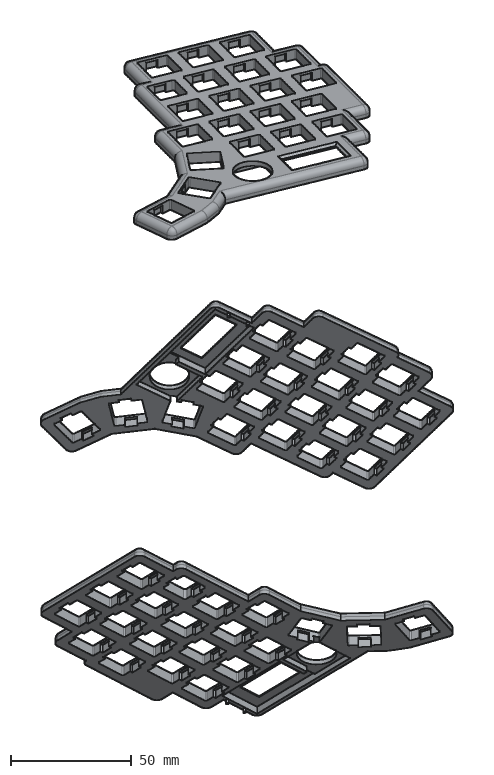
import cadquery as cq
import math

PLATE_HEIGHT = 5.0
EDGE_RADIUS = 3.0
SMALL_STEP_RADIUS = 2.3
RIM_MARGIN = 2.125

KEY_PITCH = 19.05
KEY_OPENING = 14.0
KEY_CORNER_RADIUS = 0.5
COLUMN_STAGGER = [0, 0.625 * KEY_PITCH, 0.75 * KEY_PITCH, 0.25 * KEY_PITCH, 0.25 * KEY_PITCH]
COLUMN_ROWS = [(0, 2), (0, 2), (-1, 2), (-1, 2), (0, 2)]
SMALL_OPENING = 12.7
SMALL_CORNER_RADIUS = 1.0
SMALL_OPENING_CENTRE = (KEY_PITCH, -5.95)

CLIP_WIDTH = 5.2
CLIP_DEPTH = 1.3
CLIP_LIP = 1.2

THUMB_KEYS = [(78.9, -18.1, -20), (97.9, -30.3, -45), (110.11, -49.6, -70)]

SIDE_COLUMN_X = 5 * KEY_PITCH
SIDE_COLUMN_TOP = 44.2
KNOB_DIAMETER = 16.5
KNOB_Y = -4.4
WINDOW_WIDTH = 10.7
WINDOW_LENGTH = 25.0
WINDOW_CHAMFER = 1.1
WINDOW_CENTRE = (SIDE_COLUMN_X + 0.15, 24.0)

POCKET_WIDTH = 19.6
KNOB_POCKET_ROOF = 2.3
DISPLAY_POCKET_ROOF = 1.5
RIB_THICKNESS = 2.0
RIB_GAP = 6.2

PIN_DIAMETER = 1.2
PIN_LENGTH = 1.6
PIN_SPACING = 9.7
PIN_CENTRE_X = 94.0

HALF_PITCH = KEY_PITCH / 2
HALF_CELL = HALF_PITCH + RIM_MARGIN
POCKET_WALL = HALF_CELL - POCKET_WIDTH / 2
DISPLAY_POCKET_TOP = SIDE_COLUMN_TOP - POCKET_WALL
KNOB_POCKET_TOP = KNOB_Y + POCKET_WIDTH / 2
DISPLAY_POCKET_BOTTOM = KNOB_POCKET_TOP + RIB_THICKNESS


def thumb_point(key, local_x, local_y):
    """Plate coordinates of a point given in a thumb key's own rotated frame."""
    x, y, angle = key
    c = math.cos(math.radians(angle))
    s = math.sin(math.radians(angle))
    return (x + local_x * c - local_y * s, y + local_x * s + local_y * c)


def crossing(point_a, angle_a, point_b, angle_b):
    """Point where two lines meet, each given by a point and a direction in degrees."""
    ax, ay = math.cos(math.radians(angle_a)), math.sin(math.radians(angle_a))
    bx, by = math.cos(math.radians(angle_b)), math.sin(math.radians(angle_b))
    dx, dy = point_b[0] - point_a[0], point_b[1] - point_a[1]
    t = (dx * by - dy * bx) / (ax * by - ay * bx)
    return (point_a[0] + t * ax, point_a[1] + t * ay)


def column_left(column):
    return column * KEY_PITCH - HALF_CELL


def column_right(column):
    return column * KEY_PITCH + HALF_CELL


def column_top(column):
    return COLUMN_STAGGER[column] + COLUMN_ROWS[column][1] * KEY_PITCH + HALF_CELL


def column_bottom(column):
    return COLUMN_STAGGER[column] + COLUMN_ROWS[column][0] * KEY_PITCH - HALF_CELL


def outline_corners():
    """Corners of the plate as (x, y, corner radius), clockwise from the lower left."""
    first, middle, last = THUMB_KEYS
    side_right = SIDE_COLUMN_X + HALF_CELL
    inner_first = thumb_point(first, 0, -HALF_CELL)
    inner_middle = thumb_point(middle, 0, -HALF_CELL)
    inner_last = thumb_point(last, 0, -HALF_CELL)
    outer_middle = thumb_point(middle, 0, HALF_CELL)
    sharp = 0
    return [
        (column_left(0), column_bottom(0), EDGE_RADIUS),
        (column_left(0), column_top(0), EDGE_RADIUS),
        (column_left(1), column_top(0), sharp),
        (column_left(1), column_top(1), EDGE_RADIUS),
        (column_left(2), column_top(1), sharp),
        (column_left(2), column_top(2), SMALL_STEP_RADIUS),
        (column_right(3), column_top(2), EDGE_RADIUS),
        (column_right(3), column_top(4), sharp),
        (column_right(4), column_top(4), EDGE_RADIUS),
        (column_right(4), SIDE_COLUMN_TOP, sharp),
        (side_right, SIDE_COLUMN_TOP, EDGE_RADIUS),
        (*crossing((side_right, 0), 90, outer_middle, middle[2]), sharp),
        (*thumb_point(middle, HALF_PITCH, HALF_CELL), sharp),
        (*thumb_point(last, -HALF_PITCH, HALF_CELL), sharp),
        (*thumb_point(last, HALF_CELL, HALF_CELL), EDGE_RADIUS),
        (*thumb_point(last, HALF_CELL, -HALF_CELL), EDGE_RADIUS),
        (*crossing(inner_middle, middle[2], inner_last, last[2]), sharp),
        (*crossing(inner_first, first[2], inner_middle, middle[2]), sharp),
        (*crossing((0, column_bottom(3)), 0, inner_first, first[2]), sharp),
        (column_left(3), column_bottom(3), EDGE_RADIUS),
        (column_left(3), column_bottom(2), sharp),
        (column_left(1), column_bottom(2), EDGE_RADIUS),
        (column_left(1), column_bottom(0), sharp),
    ]


def make_plate():
    """Solid plate with rounded outer corners and a rounded top rim."""
    corners = outline_corners()
    outline = [(x, y) for x, y, _ in corners]
    plate = cq.Workplane("XY").polyline(outline).close().extrude(PLATE_HEIGHT)
    for x, y, radius in corners:
        if radius > 0:
            upright_edge = cq.selectors.NearestToPointSelector((x, y, PLATE_HEIGHT / 2))
            plate = plate.edges(upright_edge).fillet(radius)
    return plate.faces(">Z").edges().fillet(EDGE_RADIUS)


def switch_cutter(size, corner_radius):
    """Square through opening with a clip recess low in the middle of its -X and +X walls."""
    opening = cq.Workplane("XY").rect(size, size).extrude(PLATE_HEIGHT)
    opening = opening.edges("|Z").fillet(corner_radius)
    recess_length = size + 2 * CLIP_DEPTH
    recesses = cq.Workplane("XY").rect(recess_length, CLIP_WIDTH).extrude(PLATE_HEIGHT - CLIP_LIP)
    return opening.union(recesses)


def cut_column_keys(plate):
    """Openings of the five straight columns and the small opening below the second one."""
    key = switch_cutter(KEY_OPENING, KEY_CORNER_RADIUS)
    for column, (lowest_row, highest_row) in enumerate(COLUMN_ROWS):
        for row in range(lowest_row, highest_row + 1):
            y = COLUMN_STAGGER[column] + row * KEY_PITCH
            plate = plate.cut(key.translate((column * KEY_PITCH, y, 0)))
    small = switch_cutter(SMALL_OPENING, SMALL_CORNER_RADIUS)
    return plate.cut(small.translate((*SMALL_OPENING_CENTRE, 0)))


def cut_thumb_keys(plate):
    """Thumb openings; a quarter turn puts their clip recesses on the local -Y and +Y walls."""
    key = switch_cutter(KEY_OPENING, KEY_CORNER_RADIUS).rotate((0, 0, 0), (0, 0, 1), 90)
    for x, y, angle in THUMB_KEYS:
        plate = plate.cut(key.rotate((0, 0, 0), (0, 0, 1), angle).translate((x, y, 0)))
    return plate


def cut_underside_pockets(plate):
    """Square pocket round the knob hole, long pocket behind the window, and the gap that joins them."""
    knob_depth = PLATE_HEIGHT - KNOB_POCKET_ROOF
    knob_pocket = cq.Workplane("XY").center(SIDE_COLUMN_X, KNOB_Y).rect(POCKET_WIDTH, POCKET_WIDTH)
    display_length = DISPLAY_POCKET_TOP - DISPLAY_POCKET_BOTTOM
    display_y = (DISPLAY_POCKET_TOP + DISPLAY_POCKET_BOTTOM) / 2
    display_pocket = cq.Workplane("XY").center(SIDE_COLUMN_X, display_y).rect(POCKET_WIDTH, display_length)
    gap_x = SIDE_COLUMN_X + (POCKET_WIDTH - RIB_GAP) / 2
    gap_y = (KNOB_POCKET_TOP + DISPLAY_POCKET_BOTTOM) / 2
    gap = cq.Workplane("XY").center(gap_x, gap_y).rect(RIB_GAP, RIB_THICKNESS)
    plate = plate.cut(knob_pocket.extrude(knob_depth))
    plate = plate.cut(display_pocket.extrude(PLATE_HEIGHT - DISPLAY_POCKET_ROOF))
    return plate.cut(gap.extrude(knob_depth))


def cut_knob_hole(plate):
    hole = cq.Workplane("XY").center(SIDE_COLUMN_X, KNOB_Y).circle(KNOB_DIAMETER / 2)
    return plate.cut(hole.extrude(PLATE_HEIGHT))


def cut_display_window(plate):
    """Rectangular window with its top edges chamfered."""
    centre = cq.Workplane("XY").center(*WINDOW_CENTRE)
    window = centre.rect(WINDOW_WIDTH, WINDOW_LENGTH).extrude(PLATE_HEIGHT)
    bevel = (
        centre.workplane(offset=PLATE_HEIGHT - WINDOW_CHAMFER)
        .rect(WINDOW_WIDTH, WINDOW_LENGTH)
        .workplane(offset=WINDOW_CHAMFER)
        .rect(WINDOW_WIDTH + 2 * WINDOW_CHAMFER, WINDOW_LENGTH + 2 * WINDOW_CHAMFER)
        .loft()
    )
    return plate.cut(window).cut(bevel)


def add_pins(plate):
    """Two round pins hanging from the middle of the wall at the +Y end of the pockets."""
    y = (SIDE_COLUMN_TOP + DISPLAY_POCKET_TOP) / 2
    for x in (PIN_CENTRE_X - PIN_SPACING / 2, PIN_CENTRE_X + PIN_SPACING / 2):
        pin = cq.Workplane("XY").center(x, y).circle(PIN_DIAMETER / 2).extrude(-PIN_LENGTH)
        plate = plate.union(pin)
    return plate


result = make_plate()
result = cut_column_keys(result)
result = cut_thumb_keys(result)
result = cut_underside_pockets(result)
result = cut_knob_hole(result)
result = cut_display_window(result)
result = add_pins(result)